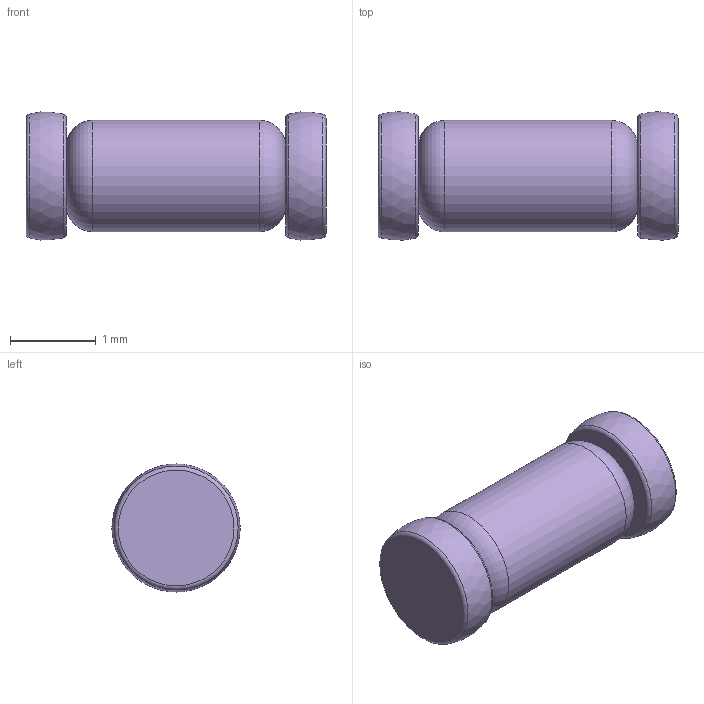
import cadquery as cq
import math

total_length = 3.5
cap_width = 0.47
cap_sphere_radius = 0.75
cap_edge_radius = 0.05
body_radius = 0.65
body_end_radius = 0.31

body_length = total_length - 2 * cap_width
cap_offset = (total_length - cap_width) / 2

half_cap = cap_width / 2
edge_center_x = half_cap - cap_edge_radius
edge_center_distance = cap_sphere_radius - cap_edge_radius
cap_face_radius = math.sqrt(edge_center_distance**2 - edge_center_x**2)
rim_angle = math.atan2(cap_face_radius, edge_center_x)
rim_end_x = cap_sphere_radius * math.cos(rim_angle)
rim_end_radius = cap_sphere_radius * math.sin(rim_angle)
edge_mid_x = edge_center_x + cap_edge_radius * math.cos(rim_angle / 2)
edge_mid_radius = cap_face_radius + cap_edge_radius * math.sin(rim_angle / 2)


def make_body():
    """Cylinder along X with rounded ends."""
    cylinder = cq.Workplane("YZ").circle(body_radius).extrude(body_length / 2, both=True)
    return cylinder.faces("<X or >X").edges().fillet(body_end_radius)


def make_cap(center_x):
    """Round end cap with a spherical rim and softened edges."""
    profile = (
        cq.Workplane("XY")
        .moveTo(-half_cap, 0)
        .lineTo(-half_cap, cap_face_radius)
        .threePointArc((-edge_mid_x, edge_mid_radius), (-rim_end_x, rim_end_radius))
        .threePointArc((0, cap_sphere_radius), (rim_end_x, rim_end_radius))
        .threePointArc((edge_mid_x, edge_mid_radius), (half_cap, cap_face_radius))
        .lineTo(half_cap, 0)
        .close()
    )
    cap = profile.revolve(360, (0, 0, 0), (1, 0, 0))
    return cap.translate((center_x, 0, 0))


result = make_body()
for side in (-1, 1):
    result = result.union(make_cap(side * cap_offset))